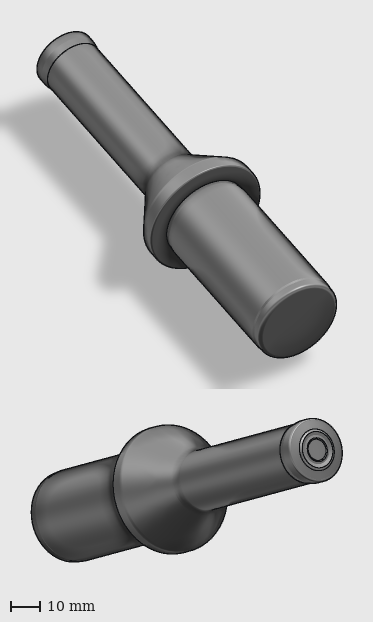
import cadquery as cq
import math

total_length = 153.0
face_edge_x = 0.8
rim_end_x = 1.4
taper_start_x = 4.6
nose_length = 7.3
cone_foot_x = 69.2
flange_front_x = 88.6
flange_back_x = 92.9
front_relief_end_x = 94.1
body_start_x = 95.0
body_end_x = 148.9
back_relief_start_x = 149.6

shaft_radius = 21.0 / 2
nose_radius = 11.0
nose_back_radius = 10.5
face_edge_radius = 10.3
flange_radius = 44.0 / 2
body_radius = 32.0 / 2
relief_radius = 31.5 / 2
cone_angle = math.radians(33.7)
foot_blend_radius = 5.2
flange_blend_radius = 2.3
flange_back_round = 0.6
body_end_round = 1.4

pit_radius = 3.7
pit_edge_radius = 4.1
valley_radius = 5.0
crest_radius = 6.3
crest_foot_radius = 7.2
pit_depth = 0.3
pit_edge_depth = 0.2
valley_depth = 0.23
crest_foot_depth = 0.5


def revolve_about_x(profile):
    return profile.close().revolve(360, (0, 0, 0), (1, 0, 0))


def quarter_round_middle(center_x, center_radius, round_radius):
    """Middle of the convex arc between a cylinder and its rear (+X) face."""
    offset = round_radius * math.sqrt(0.5)
    return (center_x + offset, center_radius + offset)


def make_nose():
    rim_middle = (
        rim_end_x - (rim_end_x - face_edge_x) * math.sqrt(0.5),
        face_edge_radius + (nose_radius - face_edge_radius) * math.sqrt(0.5),
    )
    return revolve_about_x(
        cq.Workplane("XY")
        .moveTo(pit_depth, 0)
        .lineTo(pit_depth, pit_radius)
        .lineTo(pit_edge_depth, pit_edge_radius)
        .lineTo(valley_depth, valley_radius)
        .lineTo(0, crest_radius)
        .lineTo(crest_foot_depth, crest_foot_radius)
        .lineTo(face_edge_x, face_edge_radius)
        .threePointArc(rim_middle, (rim_end_x, nose_radius))
        .lineTo(taper_start_x, nose_radius)
        .lineTo(nose_length, nose_back_radius)
        .lineTo(nose_length, 0)
    )


def make_shank():
    foot_center_radius = shaft_radius + foot_blend_radius

    def foot_point(angle):
        return (
            cone_foot_x + foot_blend_radius * math.sin(angle),
            foot_center_radius - foot_blend_radius * math.cos(angle),
        )

    edge_center_radius = flange_radius - flange_blend_radius

    def edge_point(angle):
        return (
            flange_front_x - flange_blend_radius * math.sin(angle),
            edge_center_radius + flange_blend_radius * math.cos(angle),
        )

    flange_round_x = flange_back_x - flange_back_round
    flange_face_radius = flange_radius - flange_back_round
    end_round_x = total_length - body_end_round
    end_face_radius = relief_radius - body_end_round

    return revolve_about_x(
        cq.Workplane("XY")
        .moveTo(nose_length, 0)
        .lineTo(nose_length, shaft_radius)
        .lineTo(cone_foot_x, shaft_radius)
        .threePointArc(foot_point(cone_angle / 2), foot_point(cone_angle))
        .lineTo(*edge_point(cone_angle))
        .threePointArc(edge_point(cone_angle / 2), edge_point(0))
        .lineTo(flange_round_x, flange_radius)
        .threePointArc(
            quarter_round_middle(flange_round_x, flange_face_radius, flange_back_round),
            (flange_back_x, flange_face_radius),
        )
        .lineTo(flange_back_x, relief_radius)
        .lineTo(front_relief_end_x, relief_radius)
        .lineTo(body_start_x, body_radius)
        .lineTo(body_end_x, body_radius)
        .lineTo(back_relief_start_x, relief_radius)
        .lineTo(end_round_x, relief_radius)
        .threePointArc(
            quarter_round_middle(end_round_x, end_face_radius, body_end_round),
            (total_length, end_face_radius),
        )
        .lineTo(total_length, 0)
    )


nose = make_nose()
shank = make_shank()
result = cq.Compound.makeCompound([nose.val(), shank.val()])